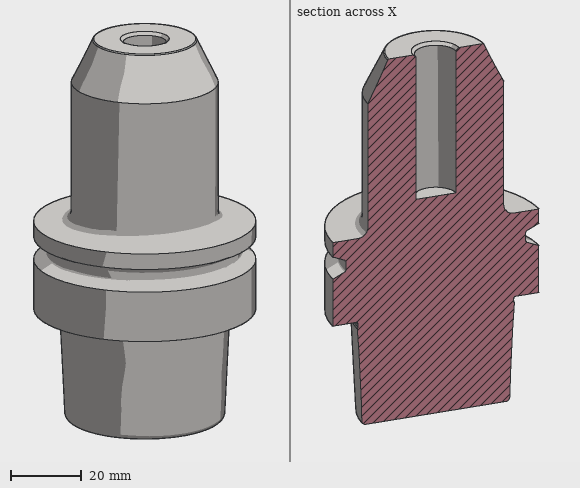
import cadquery as cq

length = 111.9

flange_radius = 31.4
flange_bottom = 32.0
flange_height = 26.0
flange_top = flange_bottom + flange_height
groove_radius = 27.4
groove_bottom = 46.7
groove_top = 53.4
groove_wall_rise = 1.8
groove_fillet = 0.8

body_radius = 20.8
body_fillet = 2.9
nose_height = 12.8
nose_radius = 14.8
nose_chamfer = 0.3
nose_bottom = length - nose_height

taper_top = 30.1
taper_top_radius = 24.1
taper_bottom_radius = 22.6
taper_fillet = 1.3
relief_radius = 23.8
relief_slope_height = 0.6

bore_radius = 6.0
bore_depth = 44.8
bore_chamfer = 0.9


def revolve_profile(points):
    """Revolve a closed (radius, height) outline about the Z axis."""
    return cq.Workplane("XZ").polyline(points).close().revolve(360, (0, 0), (0, 1))


def make_shank():
    """Taper rounded at its lower rim, with the relief groove above it."""
    taper = revolve_profile([
        (0, 0),
        (taper_bottom_radius, 0),
        (taper_top_radius, taper_top),
        (relief_radius, taper_top + relief_slope_height),
        (relief_radius, flange_bottom - relief_slope_height),
        (taper_top_radius, flange_bottom),
        (0, flange_bottom),
    ])
    return taper.faces("<Z").edges().fillet(taper_fillet)


def make_flange():
    """Flange disc whose gripper groove has sloped walls and rounded floor corners."""
    flange = revolve_profile([
        (0, flange_bottom),
        (flange_radius, flange_bottom),
        (flange_radius, groove_bottom),
        (groove_radius, groove_bottom + groove_wall_rise),
        (groove_radius, groove_top - groove_wall_rise),
        (flange_radius, groove_top),
        (flange_radius, flange_top),
        (0, flange_top),
    ])
    groove_floor_edges = flange.edges(cq.selectors.BoxSelector(
        (-flange_radius, -flange_radius, groove_bottom + groove_wall_rise / 2),
        (flange_radius, flange_radius, groove_top - groove_wall_rise / 2),
    )).edges("%CIRCLE")
    return groove_floor_edges.fillet(groove_fillet)


def make_body():
    """Body with a concave fillet at its foot and a chamfered conical nose."""
    return (
        cq.Workplane("XZ")
        .moveTo(0, flange_top)
        .lineTo(body_radius + body_fillet, flange_top)
        .radiusArc((body_radius, flange_top + body_fillet), body_fillet)
        .lineTo(body_radius, nose_bottom)
        .lineTo(nose_radius, length - nose_chamfer)
        .lineTo(nose_radius - nose_chamfer, length)
        .lineTo(0, length)
        .close()
        .revolve(360, (0, 0), (0, 1))
    )


def make_bore():
    """Flat-bottomed bore with a chamfered mouth."""
    return revolve_profile([
        (0, length),
        (bore_radius + bore_chamfer, length),
        (bore_radius, length - bore_chamfer),
        (bore_radius, length - bore_depth),
        (0, length - bore_depth),
    ])


result = make_shank().union(make_flange()).union(make_body()).cut(make_bore())